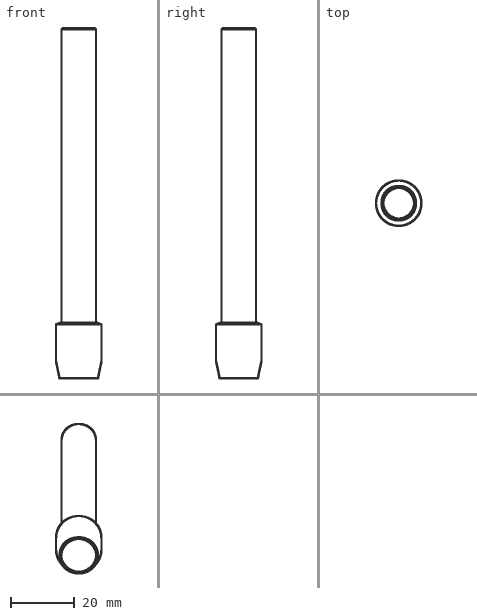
import cadquery as cq

total_length = 110.0
shaft_diameter = 10.9
shaft_radius = shaft_diameter / 2
sleeve_radius = 7.2

sleeve_tip_radius = 6.0
nose_height = 5.3
shoulder_edge_height = 16.9
sleeve_height = 17.6

bevel_width = 0.7
bevel_height = 0.4


def make_shaft():
    """Plain round shaft running the full length, bevelled at its upper end."""
    profile = (
        cq.Workplane("XZ")
        .lineTo(shaft_radius, 0)
        .lineTo(shaft_radius, total_length - bevel_height)
        .lineTo(shaft_radius - bevel_width, total_length)
        .lineTo(0, total_length)
        .close()
    )
    return profile.revolve(360, (0, 0, 0), (0, 1, 0))


def make_sleeve():
    """Round sleeve around the lower end of the shaft, open at both ends."""
    profile = (
        cq.Workplane("XZ")
        .moveTo(shaft_radius, 0)
        .lineTo(sleeve_tip_radius, 0)
        .lineTo(sleeve_radius, nose_height)
        .lineTo(sleeve_radius, shoulder_edge_height)
        .lineTo(shaft_radius, sleeve_height)
        .close()
    )
    return profile.revolve(360, (0, 0, 0), (0, 1, 0))


shaft = make_shaft()
sleeve = make_sleeve()
result = cq.Compound.makeCompound([shaft.val(), sleeve.val()])